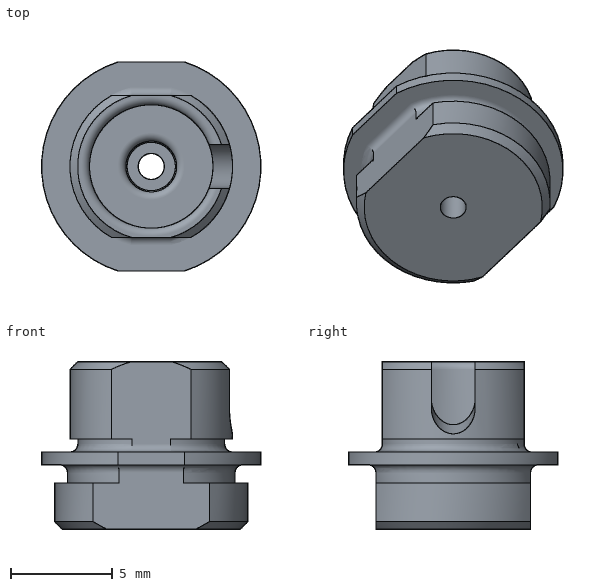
import cadquery as cq
import math

base_top = 2.286
flange_bottom = 3.175
flange_top = 3.81
barrel_bottom = 4.445
total_height = 8.255

base_diameter = 9.525
lower_neck_diameter = 8.255
base_across_flats = 7.62
flange_diameter = 10.795
flange_across_flats = 10.287
upper_neck_diameter = 7.239
barrel_diameter = 8.001
barrel_across_flats = 6.985

edge_size = 0.381

bore_diameter = 6.07
bore_floor = barrel_bottom
counterbore_diameter = 2.5
counterbore_floor = base_top
counterbore_floor_bevel = 0.0635
through_hole_diameter = 1.27

slot_width = 2.159
slot_outer_bottom = 4.699
slot_slope_angle = 25


def cylinder(diameter, bottom, top):
    """Solid cylinder about Z."""
    return cq.Workplane("XY").workplane(offset=bottom).circle(diameter / 2).extrude(top - bottom)


def cut_flats(section, across_flats):
    """Trim a section to two flats facing +Y and -Y."""
    slab = cq.Workplane("XY").box(2 * flange_diameter, across_flats, 2 * total_height)
    return section.intersect(slab)


def flange_with_necks():
    """Flange between two necks, filleted where each neck meets it."""
    flange = cut_flats(cylinder(flange_diameter, flange_bottom, flange_top), flange_across_flats)
    lower_neck = cut_flats(cylinder(lower_neck_diameter, base_top, flange_bottom), base_across_flats)
    upper_neck = cut_flats(cylinder(upper_neck_diameter, flange_top, barrel_bottom), barrel_across_flats)
    body = flange.union(lower_neck).union(upper_neck)
    half_reach = (lower_neck_diameter + flange_across_flats) / 4
    for level in (flange_bottom, flange_top):
        corner_zone = cq.selectors.BoxSelector(
            (-half_reach, -half_reach, level - edge_size / 2),
            (half_reach, half_reach, level + edge_size / 2),
            boundingbox=True,
        )
        body = body.edges(corner_zone).fillet(edge_size)
    return body


def round_cutter(diameter, bottom, top):
    """Cylindrical cutter whose upper rim flares out to round the edge it leaves."""
    radius = diameter / 2
    arc_middle = edge_size * (1 - 0.5**0.5)
    return (
        cq.Workplane("XZ")
        .moveTo(0, bottom)
        .lineTo(radius, bottom)
        .lineTo(radius, top - edge_size)
        .threePointArc((radius + arc_middle, top - arc_middle), (radius + edge_size, top))
        .lineTo(0, top)
        .close()
        .revolve(360, (0, 0), (0, 1))
    )


def counterbore_cutter():
    """Rounded-rim cutter with a narrow bevel around the foot of its wall."""
    cutter = round_cutter(counterbore_diameter, counterbore_floor, bore_floor)
    return cutter.faces("<Z").edges().chamfer(counterbore_floor_bevel)


def slot_cutter():
    """U-shaped cutter swept through the +X wall along the sloping floor of the slot."""
    radius = slot_width / 2
    slope = math.radians(slot_slope_angle)
    half_length = barrel_diameter / 2
    outward = cq.Vector(math.cos(slope), 0, -math.sin(slope))
    floor_point = cq.Vector(barrel_diameter / 2, 0, slot_outer_bottom)
    start = floor_point - outward * half_length
    profile_plane = cq.Plane(origin=start, xDir=(0, 1, 0), normal=outward)
    return (
        cq.Workplane(profile_plane)
        .moveTo(-radius, total_height)
        .lineTo(-radius, radius)
        .threePointArc((0, 0), (radius, radius))
        .lineTo(radius, total_height)
        .close()
        .extrude(2 * half_length)
    )


base_round = cylinder(base_diameter, 0, base_top).faces("<Z").edges().chamfer(edge_size)
base = cut_flats(base_round, base_across_flats)
barrel_round = cylinder(barrel_diameter, barrel_bottom, total_height).faces(">Z").edges().chamfer(edge_size)
barrel = cut_flats(barrel_round, barrel_across_flats)
through_hole = cylinder(through_hole_diameter, 0, total_height)

result = (
    flange_with_necks()
    .union(base)
    .union(barrel)
    .cut(round_cutter(bore_diameter, bore_floor, total_height))
    .cut(counterbore_cutter())
    .cut(through_hole)
    .cut(slot_cutter())
)